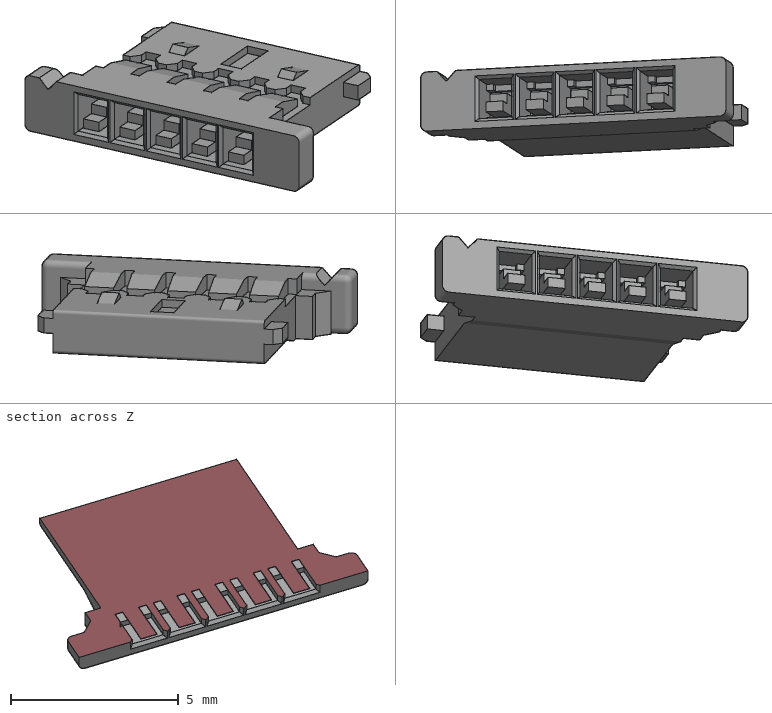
import cadquery as cq

LENGTH = 9.47
DEPTH = 6.2
HEIGHT = 1.8

FLANGE_DEPTH = 0.985
FLANGE_RADIUS = 0.2
KEY_X = -3.94
KEY_HALF_WIDTH = 0.29
KEY_DEPTH = 0.31

BODY_WIDTH = 6.46
REAR_BOTTOM_Z = 0.25
REAR_TOP_Z = 1.56
TRENCH_FLOOR_Z = 1.33
RAMP_FRONT_Y = 2.06
RAMP_BACK_Y = 2.95
TRENCH_BACK_Y = 3.24
REAR_EDGE_RADIUS = 0.09

WING_WIDTH = 7.48
WING_BACK_Y = 1.78
WING_TAPER_Y = 1.37
LUG_LENGTH = 0.985
LUG_CHAMFER = 0.25
LUG_BOTTOM_Z = 0.86

CONTACT_COUNT = 5
PITCH = 1.25
CONTACT_XS = [(i - (CONTACT_COUNT - 1) / 2) * PITCH for i in range(CONTACT_COUNT)]
GAP_XS = [(left + right) / 2 for left, right in zip(CONTACT_XS, CONTACT_XS[1:])]

FINGER_ROOT_Y = 1.63
FINGER_GAP_ROOT_WIDTH = 0.28
FINGER_GAP_TIP_WIDTH = 0.4
FINGER_ROW_WIDTH = 5.93

NOTCH_WIDTH = 0.49
NOTCH_MOUTH_WIDTH = 0.97
NOTCH_FLARE_Y = 3.5
NOTCH_BACK_Y = 3.79

LATCH_XS = (GAP_XS[0], GAP_XS[-1])
LATCH_WIDTH = 0.53
LATCH_FRONT_Y = 4.1
LATCH_PEAK_Y = 4.32
LATCH_BACK_Y = 4.98
LATCH_PEAK_Z = 1.75
RECESS_WIDTH = 0.71
RECESS_FRONT_Y = LATCH_FRONT_Y
RECESS_BACK_Y = 5.69

CAVITY_SHIFT_X = 0.06
MOUTH_WIDTH = 1.2
MOUTH_BOTTOM_Z = 0.22
MOUTH_TOP_Z = 1.6
MOUTH_CHAMFER = 0.09
ENTRY_DEPTH = 0.95
KEYWAY_DEPTH = 1.14
CAVITY_DEPTH = 1.33
CAVITY_BOTTOM_Z = 0.49
CAVITY_TOP_Z = 1.32
KEYWAY_WIDTH = 0.59

TONGUE_WIDTH = 0.53
TONGUE_TOP_Z = 1.11
TONGUE_STEP_Z = 0.8
TONGUE_STEP_Y = 0.46


def box(x_center, width, y_front, y_back, z_bottom, z_top):
    """Box centred on x_center in X, with its Y and Z limits given."""
    size = (width, y_back - y_front, z_top - z_bottom)
    corner = (x_center - width / 2, y_front, z_bottom)
    return cq.Workplane("XY").box(*size, centered=False).translate(corner)


def side_prism(points, x_center, width):
    """Prism along X, centred on x_center, with a (Y, Z) outline."""
    prism = cq.Workplane("YZ").polyline(points).close().extrude(width / 2, both=True)
    return prism.translate((x_center, 0, 0))


def plan_prism(points, z_bottom, z_top):
    """Prism along Z with an (X, Y) outline."""
    return cq.Workplane("XY").workplane(offset=z_bottom).polyline(points).close().extrude(z_top - z_bottom)


def mirrored(half_outline):
    """Complete a right-hand (X, Y) outline with its mirror image about X = 0."""
    return half_outline + [(-x, y) for x, y in reversed(half_outline)]


def make_flange():
    flange = box(0, LENGTH, 0, FLANGE_DEPTH, 0, HEIGHT)
    return flange.edges("|Y or >Y").fillet(FLANGE_RADIUS)


def make_body():
    profile = [
        (0, 0),
        (RAMP_FRONT_Y, 0),
        (RAMP_BACK_Y, REAR_BOTTOM_Z),
        (DEPTH, REAR_BOTTOM_Z),
        (DEPTH, REAR_TOP_Z),
        (TRENCH_BACK_Y, REAR_TOP_Z),
        (TRENCH_BACK_Y, TRENCH_FLOOR_Z),
        (RAMP_BACK_Y, TRENCH_FLOOR_Z),
        (RAMP_BACK_Y, REAR_TOP_Z),
        (RAMP_FRONT_Y, HEIGHT),
        (0, HEIGHT),
    ]
    body = side_prism(profile, 0, BODY_WIDTH)
    return body.faces(">Y").edges("|X").fillet(REAR_EDGE_RADIUS)


def make_wings():
    half_width = WING_WIDTH / 2
    flange_half_width = half_width + WING_TAPER_Y - FLANGE_DEPTH
    half_outline = [
        (flange_half_width, FLANGE_DEPTH - FLANGE_RADIUS),
        (flange_half_width, FLANGE_DEPTH),
        (half_width, WING_TAPER_Y),
        (half_width, WING_BACK_Y),
    ]
    return plan_prism(mirrored(half_outline), 0, TRENCH_FLOOR_Z)


def make_lugs():
    half_width = WING_WIDTH / 2
    half_outline = [
        (half_width, DEPTH - LUG_LENGTH),
        (half_width, DEPTH - LUG_CHAMFER),
        (half_width - LUG_CHAMFER, DEPTH),
    ]
    return plan_prism(mirrored(half_outline), LUG_BOTTOM_Z, TRENCH_FLOOR_Z)


def make_latch(x_center):
    profile = [
        (LATCH_FRONT_Y, REAR_TOP_Z),
        (LATCH_PEAK_Y, LATCH_PEAK_Z),
        (LATCH_BACK_Y, REAR_TOP_Z),
    ]
    return side_prism(profile, x_center, LATCH_WIDTH)


def make_finger_gap(x_center):
    half_root = FINGER_GAP_ROOT_WIDTH / 2
    half_tip = FINGER_GAP_TIP_WIDTH / 2
    outline = mirrored([(half_root, FINGER_ROOT_Y), (half_tip, RAMP_BACK_Y)])
    return plan_prism(outline, TRENCH_FLOOR_Z, HEIGHT).translate((x_center, 0, 0))


def make_finger_margin(side):
    margin_width = (BODY_WIDTH - FINGER_ROW_WIDTH) / 2
    x_center = side * (FINGER_ROW_WIDTH + margin_width) / 2
    return box(x_center, margin_width, FINGER_ROOT_Y, RAMP_BACK_Y, TRENCH_FLOOR_Z, HEIGHT)


def make_notch(x_center):
    half_outline = [
        (NOTCH_MOUTH_WIDTH / 2, TRENCH_BACK_Y),
        (NOTCH_WIDTH / 2, NOTCH_FLARE_Y),
        (NOTCH_WIDTH / 2, NOTCH_BACK_Y),
    ]
    notch = plan_prism(mirrored(half_outline), TRENCH_FLOOR_Z, REAR_TOP_Z)
    return notch.translate((x_center, 0, 0))


def make_key_groove():
    profile = [
        (KEY_X - KEY_HALF_WIDTH, HEIGHT),
        (KEY_X, HEIGHT - KEY_DEPTH),
        (KEY_X + KEY_HALF_WIDTH, HEIGHT),
    ]
    return cq.Workplane("XZ").polyline(profile).close().extrude(-FLANGE_DEPTH)


def make_cavity(x_center):
    """Space removed for one contact, leaving its stepped tongue standing."""
    entry_width = MOUTH_WIDTH - 2 * MOUTH_CHAMFER
    entry_bottom = MOUTH_BOTTOM_Z + MOUTH_CHAMFER
    entry_top = MOUTH_TOP_Z - MOUTH_CHAMFER
    mouth = (
        cq.Workplane("XZ", origin=(x_center, 0, (MOUTH_BOTTOM_Z + MOUTH_TOP_Z) / 2))
        .rect(MOUTH_WIDTH, MOUTH_TOP_Z - MOUTH_BOTTOM_Z)
        .workplane(offset=-MOUTH_CHAMFER)
        .rect(entry_width, entry_top - entry_bottom)
        .loft(ruled=True)
    )
    entry = box(x_center, entry_width, MOUTH_CHAMFER, ENTRY_DEPTH, entry_bottom, entry_top)
    inner = box(x_center, entry_width, ENTRY_DEPTH, CAVITY_DEPTH, CAVITY_BOTTOM_Z, CAVITY_TOP_Z)
    keyway = box(x_center, KEYWAY_WIDTH, ENTRY_DEPTH, KEYWAY_DEPTH, CAVITY_TOP_Z, entry_top)
    tongue_profile = [
        (0, CAVITY_BOTTOM_Z),
        (CAVITY_DEPTH, CAVITY_BOTTOM_Z),
        (CAVITY_DEPTH, TONGUE_TOP_Z),
        (TONGUE_STEP_Y, TONGUE_TOP_Z),
        (TONGUE_STEP_Y, TONGUE_STEP_Z),
        (0, TONGUE_STEP_Z),
    ]
    tongue = side_prism(tongue_profile, x_center, TONGUE_WIDTH)
    return mouth.union(entry).union(inner).union(keyway).cut(tongue)


recess = box(0, RECESS_WIDTH, RECESS_FRONT_Y, RECESS_BACK_Y, TRENCH_FLOOR_Z, REAR_TOP_Z)
result = make_body().cut(recess)
for gap_x in GAP_XS:
    result = result.cut(make_finger_gap(gap_x))
for side in (-1, 1):
    result = result.cut(make_finger_margin(side))
for contact_x in CONTACT_XS:
    result = result.cut(make_notch(contact_x))

result = result.union(make_flange()).union(make_wings()).union(make_lugs())
for latch_x in LATCH_XS:
    result = result.union(make_latch(latch_x))

result = result.cut(make_key_groove())
for contact_x in CONTACT_XS:
    result = result.cut(make_cavity(contact_x + CAVITY_SHIFT_X))